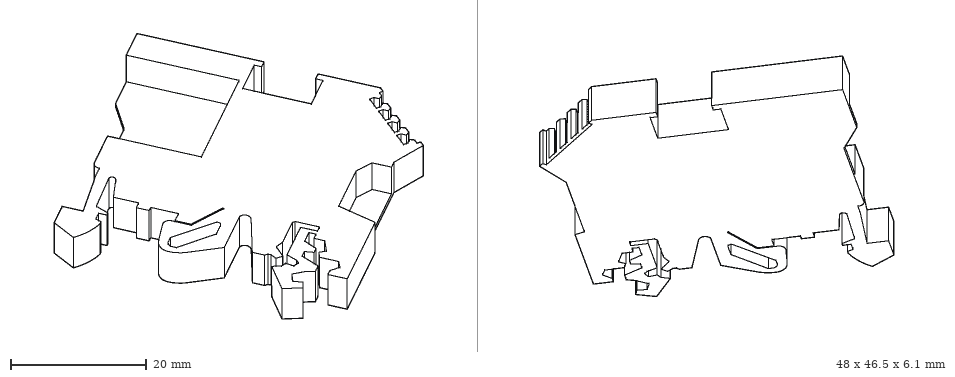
import cadquery as cq
import math

length = 48.0
height = 46.55
thickness = 6.1
base_plate = 0.75
pocket_depth = thickness - base_plate

left_flank = 3.0
right_flank = 45.0
flare_bottom = 31.65
flare_top = 36.55
heel_right = 46.55
heel_top = 18.2
heel_bottom = 5.1
shoulder_bottom = 16.65
shoulder_radius = 0.95

window_left = 18.65
window_right = 29.4
window_bottom = 40.0
window_lip = 1.15

left_pocket_right = 17.6
left_pocket_bottom = 23.75
left_pocket_top = 41.5

right_pocket_left = 40.3
right_pocket_bottom = 19.85
right_pocket_top = 30.5
right_pocket_chamfer_x = 1.7
right_pocket_chamfer_y = 2.45

corner_drop = height - flare_top
strip_length = 12.45
strip_recess = 0.6
marker_count = 4
marker_pitch = 3.0
marker_depth = 1.9
tooth_neck = 0.7
tooth_neck_height = 0.7
tooth_head = 1.9
tooth_head_height = 1.3
tooth_tip = 1.05

arm_left = 4.1
foot_left = 1.5
foot_top = 6.95
foot_notch_top = 7.2

seat_left = 8.05
seat_height = 11.25
rib_left = 12.0
rib_right = 14.0
rib_bottom = 10.15
recess_height = 10.85
recess_right = 18.35

loop_top = 9.0
loop_radius = 2.15
loop_center_x = 19.55
loop_center_y = 4.6
loop_side_slant = math.radians(7.5)
loop_right = 27.1
slit_width = 0.2
slit_bend_x = 20.85
slit_end_x = 24.2
slit_end_y = 14.1
opening_left = 18.85
opening_right = 25.05
opening_bottom = 3.65

hook_gap_left = 34.95
hook_gap_top = 14.65
hook_gap_corner = 0.35
bridge_top = 13.7
bridge_bottom = 12.95
bridge_right = 39.05
hook_left = 36.45
hook_neck_right = 37.95


def through(path, points):
    """Continue the path with straight lines through the points."""
    for x, y in points:
        path = path.lineTo(x, y)
    return path


def left_side(path):
    """Flared left side down to the rounded shoulder above the latch arm."""
    path = through(path, [
        (0, flare_top),
        (left_flank, flare_bottom),
        (left_flank, shoulder_bottom + shoulder_radius),
    ])
    shoulder_end = (left_flank + shoulder_radius, shoulder_bottom)
    path = path.radiusArc(shoulder_end, -shoulder_radius)
    return path.lineTo(arm_left, shoulder_bottom)


def latch_arm(path):
    """Springy arm ending in a foot with a pointed toe, and the slot behind it."""
    path = through(path, [
        (arm_left, 14.9),
        (4.75, foot_top),
        (foot_left, foot_top),
        (foot_left, 3.15),
        (5.25, 0.95),
    ])
    path = path.threePointArc((6.95, 2.9), (8.0, 5.05))
    path = through(path, [
        (8.0, 5.55),
        (7.1, 5.85),
        (7.1, foot_notch_top),
        (8.4, foot_notch_top),
        (8.4, 7.7),
        (6.3, 8.55),
        (6.1, 15.0),
    ])
    path = path.threePointArc((6.6, 15.4), (7.2, 14.95))
    return path.lineTo(seat_left, seat_height)


def stepped_seat(path):
    """Stepped underside with one downward rib."""
    return through(path, [
        (rib_left, seat_height),
        (rib_left, rib_bottom),
        (rib_right, rib_bottom),
        (rib_right, recess_height),
        (recess_right, recess_height),
        (recess_right, loop_top),
    ])


def spring_loop(path):
    """Rounded loop hanging from the body, and the slot on its right."""
    side_end = (
        loop_center_x - loop_radius * math.cos(loop_side_slant),
        loop_center_y - loop_radius * math.sin(loop_side_slant),
    )
    path = path.lineTo(17.95, loop_top)
    path = path.threePointArc((17.15, 8.75), (16.85, 7.85))
    path = path.lineTo(*side_end)
    path = path.radiusArc((loop_center_x, loop_center_y - loop_radius), -loop_radius)
    path = path.tangentArcPoint((22.1, 3.05), relative=False)
    path = through(path, [(loop_right, 5.9), (loop_right, 13.1)])
    return path.threePointArc((28.1, 13.7), (28.95, 13.0))


def middle_leg(path):
    """Tapered leg ending in a small barb, and the gap behind the hook."""
    return through(path, [
        (31.4, 6.2),
        (33.3, 6.2),
        (33.7, 6.6),
        (34.2, 6.6),
        (35.15, 6.05),
        (35.95, 6.8),
        (34.35, 8.5),
        (hook_gap_left, 9.75),
        (hook_gap_left, hook_gap_top - hook_gap_corner),
        (hook_gap_left + hook_gap_corner, hook_gap_top),
        (bridge_right, hook_gap_top),
        (bridge_right, bridge_top),
    ])


def rail_hook(path):
    """Barbed hook, from the top of its bridge round to the underside."""
    return through(path, [
        (hook_left, bridge_top),
        (hook_left, 7.3),
        (38.1, 6.6),
        (38.6, 6.2),
        (38.15, 5.3),
        (36.8, 5.45),
        (36.45, 4.75),
        (35.1, 4.2),
        (38.05, 0),
        (41.0, 1.15),
        (40.55, 2.3),
        (39.05, 2.05),
        (38.45, 3.5),
        (40.2, 4.65),
        (41.55, 5.2),
        (41.55, 6.45),
        (38.65, 7.75),
        (38.65, 8.8),
        (40.1, 9.05),
        (40.1, 10.0),
        (hook_neck_right, 11.0),
        (hook_neck_right, bridge_bottom),
        (bridge_right, bridge_bottom),
    ])


def right_heel(path):
    """Notched inner side of the heel and its plain outer side."""
    return through(path, [
        (bridge_right, 12.0),
        (40.75, 12.0),
        (41.7, 9.95),
        (40.75, 9.3),
        (41.2, 8.3),
        (44.15, 8.3),
        (44.75, 7.15),
        (43.55, 6.0),
        (43.55, heel_bottom),
        (heel_right, heel_bottom),
        (heel_right, heel_top),
    ])


def right_and_top_sides(path):
    """Right flank, 45 degree corner and top edge with its undercut window."""
    lip_bottom = height - window_lip
    heel_slope = (right_pocket_bottom - heel_top) / (heel_right - right_pocket_left)
    flank_bottom = heel_top + (heel_right - right_flank) * heel_slope
    return through(path, [
        (right_flank, flank_bottom),
        (right_flank, flare_bottom),
        (length, flare_top),
        (length - corner_drop, height),
        (window_right - window_lip, height),
        (window_right - window_lip, lip_bottom),
        (window_right, lip_bottom),
        (window_right, window_bottom),
        (window_left, window_bottom),
        (window_left, lip_bottom),
        (window_left + window_lip, lip_bottom),
        (window_left + window_lip, height),
    ])


def housing():
    """Full-thickness plate with the complete outer outline."""
    path = cq.Workplane("XY").moveTo(0, height)
    sections = (
        left_side,
        latch_arm,
        stepped_seat,
        spring_loop,
        middle_leg,
        rail_hook,
        right_heel,
        right_and_top_sides,
    )
    for section in sections:
        path = section(path)
    return path.close().extrude(thickness)


def loop_opening():
    """Slanted opening through the spring loop."""
    path = cq.Workplane("XY").moveTo(opening_left, 5.45).lineTo(24.2, 10.75)
    path = path.threePointArc((24.7, 10.85), (opening_right, 10.4))
    path = through(path, [
        (opening_right, 8.35),
        (20.4, opening_bottom),
        (19.6, opening_bottom),
    ])
    path = path.threePointArc((19.1, 3.95), (opening_left, 4.4))
    return path.close().extrude(thickness)


def loop_slit():
    """Thin bent slit that frees the spring loop from the body."""
    slit_top = loop_top + slit_width
    rise_angle = math.atan2(slit_end_y - slit_top, slit_end_x - slit_bend_x)
    across_x = slit_width * math.sin(rise_angle)
    across_y = slit_width * math.cos(rise_angle)
    bend_shift = slit_width * math.tan(rise_angle / 2)
    return (
        cq.Workplane("XY")
        .polyline([
            (recess_right, loop_top),
            (slit_bend_x + bend_shift, loop_top),
            (slit_end_x + across_x, slit_end_y - across_y),
            (slit_end_x, slit_end_y),
            (slit_bend_x, slit_top),
            (recess_right, slit_top),
        ])
        .close()
        .extrude(thickness)
    )


def left_pocket():
    """Square pocket that opens through the left side."""
    return (
        cq.Workplane("XY", origin=(0, left_pocket_bottom, base_plate))
        .rect(left_pocket_right, left_pocket_top - left_pocket_bottom, centered=False)
        .extrude(pocket_depth)
    )


def right_pocket():
    """Pocket with a slanted lower wall that runs on into the top of the heel."""
    return (
        cq.Workplane("XY", origin=(0, 0, base_plate))
        .polyline([
            (right_pocket_left, right_pocket_bottom),
            (heel_right, heel_top),
            (heel_right, right_pocket_top),
            (right_pocket_left + right_pocket_chamfer_x, right_pocket_top),
            (right_pocket_left, right_pocket_top - right_pocket_chamfer_y),
        ])
        .close()
        .extrude(pocket_depth)
    )


def corner_plane(z):
    """Plane centred on the 45 degree corner: x along the corner, y outward."""
    middle = (length - corner_drop / 2, height - corner_drop / 2, z)
    return cq.Plane(origin=middle, xDir=(1, -1, 0), normal=(0, 0, 1))


def strip_face_recess():
    """Shallow step that sets the marker strip back between its two ends."""
    return (
        cq.Workplane(corner_plane(0))
        .rect(strip_length, 2 * strip_recess)
        .extrude(thickness)
    )


def marker_slots():
    """Row of slots whose separating teeth have wide heads on narrow necks."""
    floor = -strip_recess - marker_depth
    half_base = (marker_pitch - tooth_neck) / 2
    half_throat = (marker_pitch - tooth_head) / 2
    half_mouth = (marker_pitch - tooth_tip) / 2
    right_half = [
        (half_base, floor),
        (half_base, floor + tooth_neck_height),
        (half_throat, floor + tooth_head_height),
        (half_mouth, -strip_recess),
    ]
    left_half = [(-x, y) for x, y in reversed(right_half)]
    first_slot = -(marker_count - 1) / 2 * marker_pitch
    centers = [(first_slot + i * marker_pitch, 0) for i in range(marker_count)]
    slot = cq.Workplane("XY").polyline(right_half + left_half).close().extrude(pocket_depth).val()
    return (
        cq.Workplane(corner_plane(base_plate))
        .pushPoints(centers)
        .eachpoint(lambda place: slot.moved(place), useLocalCoordinates=True)
    )


cutters = (
    loop_opening(),
    loop_slit(),
    left_pocket(),
    right_pocket(),
    strip_face_recess(),
    marker_slots(),
)
result = housing()
for cutter in cutters:
    result = result.cut(cutter)